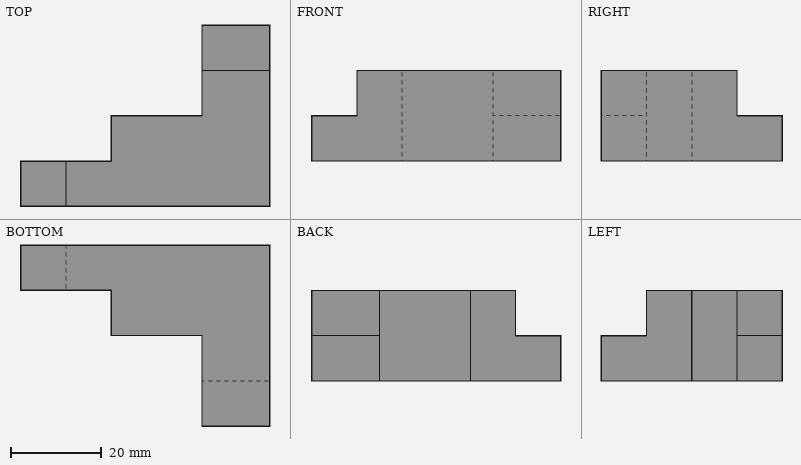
import cadquery as cq

length = 55.0
depth = 40.0

step = depth / 4
height = 2 * step

outline = [
    (0, 0),
    (length, 0),
    (length, depth),
    (4 * step, depth),
    (4 * step, 2 * step),
    (2 * step, 2 * step),
    (2 * step, step),
    (0, step),
]
body = cq.Workplane("XY").polyline(outline).close().extrude(height)

left_notch = cq.Workplane("XY").box(step, depth, step, centered=False).translate((0, 0, height - step))
back_notch = (
    cq.Workplane("XY")
    .box(length, step, step, centered=False)
    .translate((0, depth - step, height - step))
)

result = body.cut(left_notch).cut(back_notch)